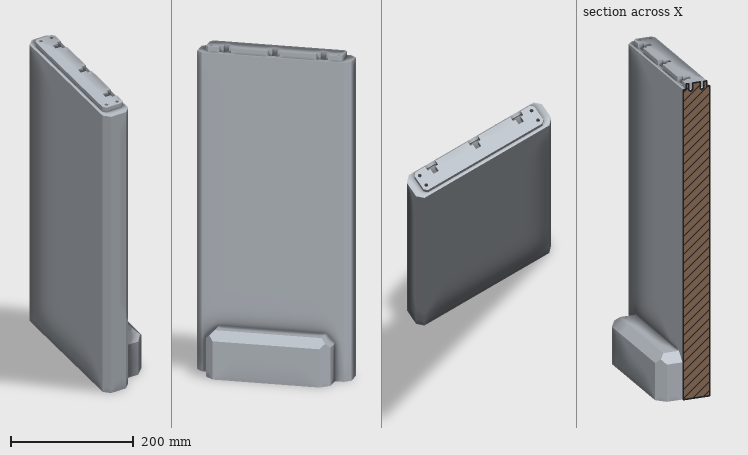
import cadquery as cq

total_height = 550.0
panel_width = 260.0
panel_depth = 48.0
panel_chamfer = 10.0

plate_height = 9.5
plate_side_margin = 15.0
plate_depth = 37.5
plate_rear_margin = 5.0
plate_chamfer = 5.0

total_depth = 90.0
foot_width = 210.0
foot_height = 80.0
foot_chamfer = 15.0

notch_pitch = 82.0
notch_head_width = 20.0
notch_head_depth = 8.0
notch_stem_width = 10.0
notch_total_depth = 18.0
notch_recess = 3.0
notch_lip_thickness = 1.5
notch_lip_height = 1.0

hole_diameter = 6.0
hole_straight_depth = 11.0
hole_tip_depth = 3.5
hole_spacing_x = 215.0
hole_spacing_y = 20.0

panel_height = total_height - plate_height
plate_width = panel_width - 2 * plate_side_margin
panel_rear = panel_depth / 2
plate_rear = panel_rear - plate_rear_margin
plate_center_y = plate_rear - plate_depth / 2


def chamfered_slab(width, depth, height, chamfer, base):
    """Upright slab centred on the Z axis with chamfered vertical edges."""
    slab = cq.Workplane("XY").workplane(offset=base).rect(width, depth).extrude(height)
    return slab.edges("|Z").chamfer(chamfer)


def make_foot():
    """Block behind the panel, with equal bevels along its rear, side and top edges."""
    foot_rear = total_depth - panel_rear
    half_width = foot_width / 2
    bevel_x = half_width - foot_chamfer
    bevel_y = foot_rear - foot_chamfer
    bevel_z = foot_height - foot_chamfer

    plan_points = [
        (-half_width, panel_rear),
        (half_width, panel_rear),
        (half_width, bevel_y),
        (bevel_x, foot_rear),
        (-bevel_x, foot_rear),
        (-half_width, bevel_y),
    ]
    side_points = [
        (panel_rear, 0),
        (foot_rear, 0),
        (foot_rear, bevel_z),
        (bevel_y, foot_height),
        (panel_rear, foot_height),
    ]
    back_points = [
        (-half_width, 0),
        (half_width, 0),
        (half_width, bevel_z),
        (bevel_x, foot_height),
        (-bevel_x, foot_height),
        (-half_width, bevel_z),
    ]
    plan = cq.Workplane("XY").polyline(plan_points).close().extrude(foot_height)
    side = cq.Workplane("YZ").polyline(side_points).close().extrude(half_width, both=True)
    back = cq.Workplane("XZ").polyline(back_points).close().extrude(-foot_rear)
    return plan.intersect(side).intersect(back)


def notch_block(x, width, front, rear, bottom):
    """Cutting block spanning front to rear in Y, from the bottom level to the plate top."""
    return (
        cq.Workplane("XY")
        .workplane(offset=bottom)
        .center(x, (front + rear) / 2)
        .rect(width, rear - front)
        .extrude(total_height - bottom)
    )


def make_notch(x):
    """T-shaped cutter: wide head at the rear, narrow stem forward, stepped over the lip."""
    lip_front = plate_rear - notch_lip_thickness
    head_front = plate_rear - notch_head_depth
    stem_front = plate_rear - notch_total_depth
    floor = panel_height - notch_recess
    above_lip = notch_block(x, notch_head_width, head_front, plate_rear, panel_height + notch_lip_height)
    head = notch_block(x, notch_head_width, head_front, lip_front, floor)
    stem = notch_block(x, notch_stem_width, stem_front, lip_front, floor)
    return above_lip.union(head).union(stem)


def make_hole(x, y):
    """Drilled hole from the plate top, straight with a conical tip."""
    radius = hole_diameter / 2
    profile = [
        (0, 0),
        (radius, 0),
        (radius, -hole_straight_depth),
        (0, -hole_straight_depth - hole_tip_depth),
    ]
    drill = cq.Workplane("XZ").polyline(profile).close().revolve(360, (0, 0, 0), (0, 1, 0))
    return drill.translate((x, y, total_height))


panel = chamfered_slab(panel_width, panel_depth, panel_height, panel_chamfer, 0)
plate = chamfered_slab(plate_width, plate_depth, plate_height, plate_chamfer, panel_height)
plate = plate.translate((0, plate_center_y, 0))
result = panel.union(make_foot()).union(plate)

for notch_x in (-notch_pitch, 0, notch_pitch):
    result = result.cut(make_notch(notch_x))

for side_x in (-1, 1):
    for side_y in (-1, 1):
        hole_x = side_x * hole_spacing_x / 2
        hole_y = plate_center_y + side_y * hole_spacing_y / 2
        result = result.cut(make_hole(hole_x, hole_y))